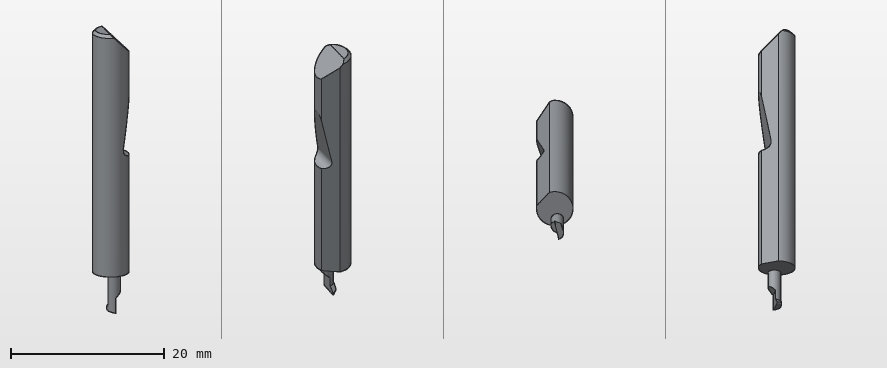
import cadquery as cq
import math


total_length = 38.1
shank_diameter = 4.76
shank_radius = shank_diameter / 2
neck_length = 5.08
top_chamfer = 0.4

flat_distance = 2.04
flat_direction = 144.0

ramp_angle = 45.0
ramp_front_y = -0.64

notch_top_z = 29.84
notch_length = 8.72
notch_tilt = 9.8
notch_radius = 1.0

neck_radius = 0.83
neck_center_x = shank_radius - neck_radius
neck_slope_low_z = 2.2
neck_slope_high_z = 3.0

tip_x = -0.18
hook_height = 1.0
heel_x = 0.41
heel_y = -0.72
nose_height = 0.22
nose_radius = 0.1
slope_angle = 42.0
side_relief = 18.0
end_relief = 13.0
end_edge_angle = 2.5

clearance = 10.0


def side_prism(wire_points):
    """Solid with the given (Y, Z) outline, running across the whole part in X."""
    return cq.Workplane("YZ").polyline(wire_points).close().extrude(clearance, both=True)


def make_shank():
    shank = (
        cq.Workplane("XY")
        .workplane(offset=neck_length)
        .circle(shank_radius)
        .extrude(total_length - neck_length)
        .faces(">Z")
        .chamfer(top_chamfer)
    )
    flat_cutter = (
        cq.Workplane("XY")
        .box(clearance, clearance, total_length, centered=(False, True, False))
        .translate((flat_distance, 0, 0))
        .rotate((0, 0, 0), (0, 0, 1), flat_direction)
    )
    ramp_drop = (clearance - ramp_front_y) * math.tan(math.radians(ramp_angle))
    ramp_cutter = side_prism(
        [
            (ramp_front_y, total_length),
            (clearance, total_length),
            (clearance, total_length - ramp_drop),
        ]
    )
    return shank.cut(flat_cutter).cut(ramp_cutter).cut(make_notch_cutter())


def make_notch_cutter():
    """Square-cornered notch with a rounded root, tilted so its long side runs out at the top."""
    tilt = math.radians(notch_tilt)
    floor_length = notch_length * math.cos(tilt)
    root_y = shank_radius - floor_length * math.sin(tilt)
    root_z = notch_top_z - floor_length * math.cos(tilt)
    block = (
        cq.Workplane("XY")
        .box(2 * clearance, clearance, clearance, centered=(True, False, False))
        .edges("<Y and <Z")
        .fillet(notch_radius)
    )
    return block.rotate((0, 0, 0), (1, 0, 0), -notch_tilt).translate((0, root_y, root_z))


def make_neck():
    neck = (
        cq.Workplane("XY")
        .workplane(offset=neck_length)
        .center(neck_center_x, 0)
        .circle(neck_radius)
        .extrude(-neck_length - clearance)
    )
    rake_cutter = side_prism(
        [
            (0, -2 * clearance),
            (0, neck_slope_low_z),
            (neck_radius, neck_slope_high_z),
            (clearance, neck_slope_high_z),
            (clearance, -2 * clearance),
        ]
    )
    return neck.cut(rake_cutter)


def make_hook():
    """Wedge from the neck to the tip, sloped on top with side relief; its lower end is trimmed later."""
    hook = (
        cq.Workplane("XY")
        .moveTo(tip_x, 0)
        .lineTo(heel_x, heel_y)
        .lineTo(neck_center_x, -neck_radius)
        .lineTo(neck_center_x, 0)
        .close()
        .extrude(hook_height + clearance)
        .translate((0, 0, -clearance))
    )
    slope_cutter = (
        cq.Workplane("XY")
        .box(2 * clearance, 2 * clearance, clearance, centered=(True, True, False))
        .rotate((0, 0, 0), (1, 0, 0), side_relief)
        .rotate((0, 0, 0), (0, 1, 0), -slope_angle)
        .translate((tip_x, 0, nose_height))
    )
    return hook.cut(slope_cutter)


def make_end_cutter():
    """Block below the tip; its top face rises behind the end cutting edge and towards the neck.

    It is lowered by about the amount that rounding the corner of the tip lifts the lowest point.
    """
    edge_angle = math.radians(end_edge_angle)
    rounding_lift = nose_radius * (1 / math.cos(edge_angle) + math.tan(edge_angle) - 1)
    return (
        cq.Workplane("XY")
        .box(4 * clearance, 4 * clearance, 2 * clearance, centered=(True, True, False))
        .translate((0, 0, -2 * clearance))
        .rotate((0, 0, 0), (1, 0, 0), -end_relief)
        .rotate((0, 0, 0), (0, 1, 0), -end_edge_angle)
        .translate((tip_x, 0, -rounding_lift))
    )


def make_lower_end():
    """Neck and hook, relieved underneath, with the corner of the tip rounded."""
    lower_end = make_neck().union(make_hook()).cut(make_end_cutter())
    corner_middle = ((tip_x + heel_x) / 2, heel_y / 2, 0)
    corner = lower_end.edges(cq.selectors.NearestToPointSelector(corner_middle))
    return corner.fillet(nose_radius)


result = make_shank().union(make_lower_end())